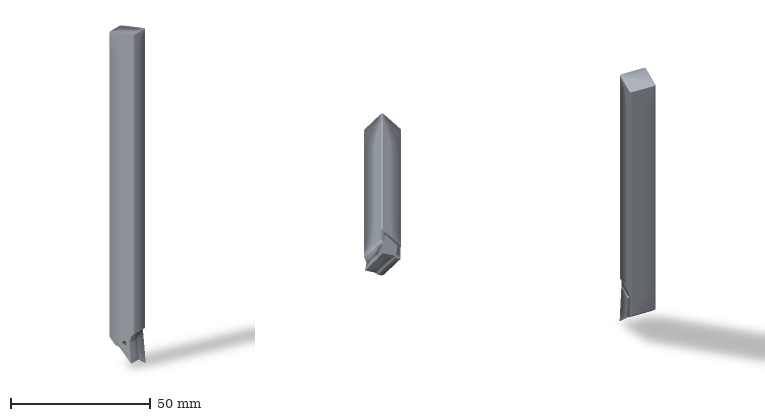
import cadquery as cq
import math

width = 10.0
length = 125.0
edge_chamfer = 0.5

insert_thickness = 3.4
insert_draft = 11.0
insert_point_angle = 35.0
insert_relief_angle = 5.0
insert_nose_radius = 0.2
insert_height = 18.8
insert_corner_x = 3.1
seat_y = width - insert_thickness

bevel_angle = 40.0
bevel_top = 11.5
jog_top = 8.2
jog_radius = 2.2
shank_bottom = 2.1

relief_top = 13.2
relief_shoulder = (9.0, 12.5)
neck_height = 10.0

step_top = 21.9
step_depth = 0.8

hole_diameter = 1.9
hole_x = 6.1
hole_z = 9.4


def tan_degrees(angle):
    return math.tan(math.radians(angle))


def insert_outline(y, inset):
    """Insert's XZ outline at the given y, with every straight side moved inwards by inset."""
    relief = math.radians(insert_relief_angle)
    flank = math.radians(insert_relief_angle + insert_point_angle)
    point = math.radians(insert_point_angle)
    bisector = (relief + flank) / 2
    radius = insert_nose_radius
    shift = inset / math.sin(point / 2)
    nose_x = width - radius - shift * math.sin(bisector)
    nose_z = radius + shift * math.cos(bisector)
    right = (nose_x + radius * math.cos(relief), nose_z + radius * math.sin(relief))
    low = (nose_x + radius * math.sin(bisector), nose_z - radius * math.cos(bisector))
    left = (nose_x - radius * math.cos(flank), nose_z - radius * math.sin(flank))
    corner_inset = inset / math.cos(point / 2)
    corner_x = insert_corner_x + corner_inset * math.cos(bisector)
    corner_z = left[1] + (left[0] - corner_x) / math.tan(flank)
    top_z = insert_height - inset
    return (
        cq.Workplane("XZ", origin=(0, y, 0))
        .moveTo(*left)
        .threePointArc(low, right)
        .lineTo(right[0] - (top_z - right[1]) * math.tan(relief), top_z)
        .lineTo(corner_x - (top_z - corner_z) * math.tan(relief), top_z)
        .lineTo(corner_x, corner_z)
        .close()
        .val()
    )


def make_insert():
    rake_face = insert_outline(width, 0)
    seat_face = insert_outline(seat_y, insert_thickness * tan_degrees(insert_draft))
    return cq.Workplane(cq.Solid.makeLoft([rake_face, seat_face], True))


def make_profile():
    """Full-depth plate with the shank's XZ outline: bevels on the left, relief on the right."""
    bevel = math.radians(bevel_angle)
    slope = math.tan(bevel)
    jog_x = (bevel_top - jog_top) * slope
    middle_angle = math.radians((90 + bevel_angle) / 2)

    def jog_point(angle):
        return (jog_x + jog_radius * math.cos(angle), jog_top - jog_radius * (1 - math.sin(angle)))

    jog_end = jog_point(bevel)
    tip_x = jog_end[0] + (jog_end[1] - shank_bottom) * slope
    neck_x = tip_x - (neck_height - shank_bottom) * tan_degrees(insert_relief_angle)
    return (
        cq.Workplane("XZ")
        .moveTo(0, length)
        .lineTo(0, bevel_top)
        .lineTo(jog_x, jog_top)
        .threePointArc(jog_point(middle_angle), jog_end)
        .lineTo(tip_x, shank_bottom)
        .lineTo(neck_x, neck_height)
        .lineTo(*relief_shoulder)
        .lineTo(width, relief_top)
        .lineTo(width, length)
        .close()
        .extrude(-width)
    )


def make_shank(insert):
    bar = cq.Workplane("XY").rect(width, width).extrude(length).edges("|Z").chamfer(edge_chamfer)
    bar = bar.translate((width / 2, width / 2, 0))
    step = cq.Workplane("XY").box(width, step_depth, step_top, centered=False)
    step = step.translate((0, width - step_depth, 0))
    hole = cq.Workplane("XZ").center(hole_x, hole_z).circle(hole_diameter / 2).extrude(-seat_y)
    return bar.intersect(make_profile()).cut(step).cut(hole).cut(insert)


insert = make_insert()
shank = make_shank(insert)

result = cq.Compound.makeCompound([*shank.vals(), *insert.vals()])